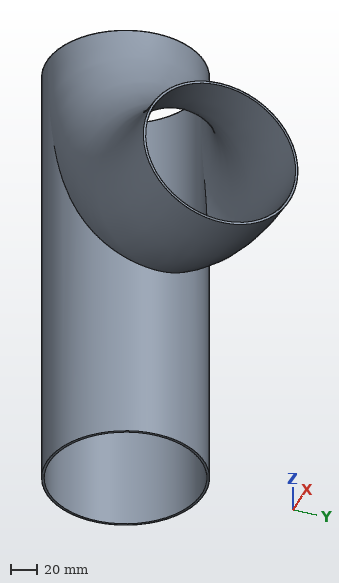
import cadquery as cq

OUTER_DIAMETER = 129.0
INNER_DIAMETER = 125.0
PIPE_LENGTH = 372.0
OVERALL_REACH = 252.0
BEND_ANGLE = 90.0
BEND_RADIUS = OVERALL_REACH - OUTER_DIAMETER / 2


def straight_pipe():
    """Straight tube along Z, standing on the XY plane."""
    return (
        cq.Workplane("XY")
        .circle(OUTER_DIAMETER / 2)
        .circle(INNER_DIAMETER / 2)
        .extrude(PIPE_LENGTH)
    )


def elbow():
    """Quarter-bend tube from the top of the straight pipe round to a mouth facing +X."""
    return (
        cq.Workplane("XY", origin=(0, 0, PIPE_LENGTH))
        .circle(OUTER_DIAMETER / 2)
        .circle(INNER_DIAMETER / 2)
        .revolve(BEND_ANGLE, (BEND_RADIUS, 0, 0), (BEND_RADIUS, -1, 0))
    )


def branch_side():
    """Block on the elbow side of the seam between the straight pipe and the elbow.

    A straight tube and a bent tube of equal diameter meet where
    depth**2 = 4 * BEND_RADIUS * x, with depth measured down from the top end.
    The diameter drops out, so one parabolic face carries both the outer and inner seam.
    """
    seam_depth = PIPE_LENGTH
    seam_x = seam_depth**2 / (4 * BEND_RADIUS)
    far_x = 2 * BEND_RADIUS
    return (
        cq.Workplane("XZ")
        .moveTo(0, PIPE_LENGTH)
        .bezier([(0, PIPE_LENGTH - seam_depth / 2), (seam_x, PIPE_LENGTH - seam_depth)], includeCurrent=True)
        .lineTo(far_x, PIPE_LENGTH - seam_depth)
        .lineTo(far_x, PIPE_LENGTH)
        .close()
        .extrude(OUTER_DIAMETER, both=True)
    )


trimmed_pipe = straight_pipe().cut(branch_side())
trimmed_elbow = elbow().intersect(branch_side())
result = trimmed_pipe.union(trimmed_elbow)